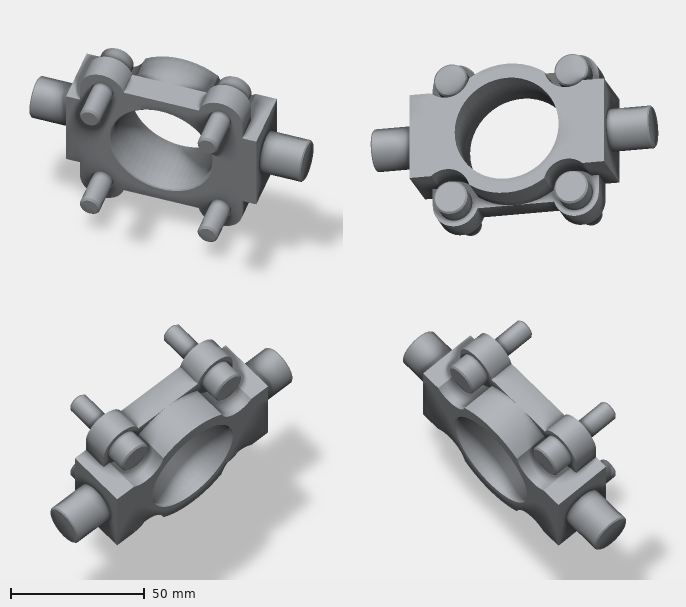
import cadquery as cq

OVERALL_LENGTH = 107.0
BLOCK_LENGTH = 75.0
BLOCK_HEIGHT = 33.0
DEPTH = 24.0

TRUNNION_DIAMETER = 16.0
TRUNNION_CHAMFER = 0.5

HUB_DIAMETER = 51.3
BORE_DIAMETER = 40.0
BORE_CHAMFER = 0.4

FLANGE_HEIGHT = HUB_DIAMETER
FLANGE_THICKNESS = 10.1
EAR_SPAN = 64.0
SCREW_SPACING = 46.4
SCREW_OFFSET = SCREW_SPACING / 2
EAR_RADIUS = (EAR_SPAN - SCREW_SPACING) / 2
SCREW_HOLE_DIAMETER = 9.0
HEAD_POCKET_DIAMETER = 18.0

SHANK_DIAMETER = 8.0
SHANK_PROJECTION = 15.0
SHANK_CHAMFER = 0.7
HEAD_DIAMETER = 13.0
HEAD_HEIGHT = 8.0
HEAD_CHAMFER = 0.6

SCREW_CENTERS = [
    (x, z)
    for x in (-SCREW_OFFSET, SCREW_OFFSET)
    for z in (-SCREW_OFFSET, SCREW_OFFSET)
]


def box_along_y(length, height, depth):
    """Box centred on the bore axis, from the front face back to the given depth."""
    return cq.Workplane("XY").box(length, depth, height).translate((0, depth / 2, 0))


def cylinder_along_y(diameter, y_start, y_end, center=(0, 0)):
    """Cylinder parallel to Y around an (x, z) center."""
    x, z = center
    return (
        cq.Workplane("XZ", origin=(x, 0, z))
        .workplane(offset=-y_start)
        .circle(diameter / 2)
        .extrude(y_start - y_end)
    )


def make_trunnions():
    """One bar through the block; its two ends are the trunnion pins."""
    return (
        cq.Workplane("YZ", origin=(-OVERALL_LENGTH / 2, DEPTH / 2, 0))
        .circle(TRUNNION_DIAMETER / 2)
        .extrude(OVERALL_LENGTH)
        .edges("%CIRCLE")
        .chamfer(TRUNNION_CHAMFER)
    )


def make_flange():
    """Front plate with four round ears."""
    flange = box_along_y(SCREW_SPACING, FLANGE_HEIGHT, FLANGE_THICKNESS)
    flange = flange.union(box_along_y(EAR_SPAN, SCREW_SPACING, FLANGE_THICKNESS))
    for center in SCREW_CENTERS:
        flange = flange.union(cylinder_along_y(2 * EAR_RADIUS, 0, FLANGE_THICKNESS, center))
    return flange


def make_housing():
    """Trunnion block with hub, flange, bore, screw holes and head pockets."""
    body = box_along_y(BLOCK_LENGTH, BLOCK_HEIGHT, DEPTH)
    body = body.union(cylinder_along_y(HUB_DIAMETER, 0, DEPTH))
    body = body.union(make_trunnions())
    for center in SCREW_CENTERS:
        body = body.cut(cylinder_along_y(HEAD_POCKET_DIAMETER, FLANGE_THICKNESS, DEPTH, center))
    body = body.union(make_flange())
    for center in SCREW_CENTERS:
        body = body.cut(cylinder_along_y(SCREW_HOLE_DIAMETER, 0, FLANGE_THICKNESS, center))

    body = body.cut(cylinder_along_y(BORE_DIAMETER, 0, DEPTH))
    largest_circle = cq.selectors.RadiusNthSelector(-1)
    return body.faces("<Y").edges("%CIRCLE").edges(largest_circle).chamfer(BORE_CHAMFER)


def make_screw(center):
    """Cap screw pointing towards -Y."""
    shank = cylinder_along_y(SHANK_DIAMETER, -SHANK_PROJECTION, FLANGE_THICKNESS, center)
    shank = shank.faces("<Y").chamfer(SHANK_CHAMFER)
    head_top = FLANGE_THICKNESS + HEAD_HEIGHT
    head = cylinder_along_y(HEAD_DIAMETER, FLANGE_THICKNESS, head_top, center)
    head = head.faces(">Y").chamfer(HEAD_CHAMFER)
    return shank.union(head)


housing = make_housing()
screws = [make_screw(center) for center in SCREW_CENTERS]

result = cq.Compound.makeCompound([housing.val(), *[screw.val() for screw in screws]])